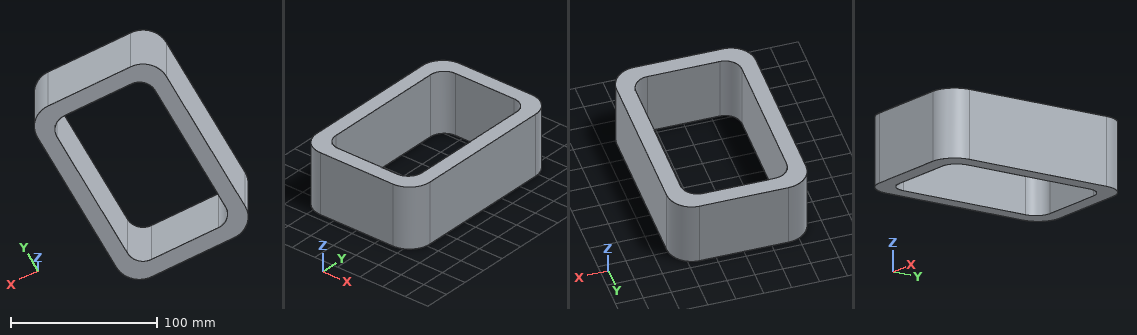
import cadquery as cq

length = 150.0
width = length * 2 / 3
height = length / 3
wall = 12.0
outer_corner_radius = 18.0
inner_corner_radius = 12.0


def rounded_block(size_x, size_y, corner_radius):
    """Block of the full height with rounded vertical edges, standing on Z = 0."""
    block = cq.Workplane("XY").rect(size_x, size_y).extrude(height)
    return block.edges("|Z").fillet(corner_radius)


outer_body = rounded_block(width, length, outer_corner_radius)

opening = rounded_block(width - 2 * wall, length - 2 * wall, inner_corner_radius)

result = outer_body.cut(opening)